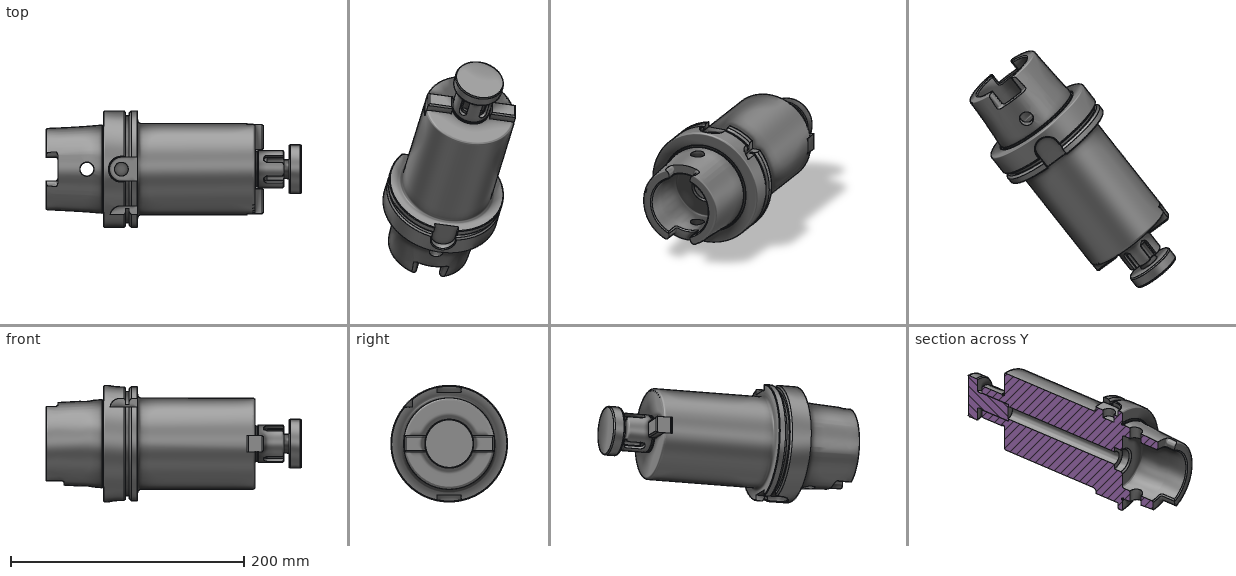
import cadquery as cq
import math

flange_front_x = 49.3
flange_back_x = 78.6
flange_radius = 50.05
flange_front_round = 1.5
flange_back_chamfer = 0.7

taper_tip_radius = 35.0
taper_middle_radius = 36.1
taper_root_radius = 37.9
taper_end_x = 48.0
taper_tip_round = 1.8
relief_radius = 37.2
relief_outer_radius = 39.5
relief_face_depth = 0.7

groove_floor_radius = 46.0
groove_start_x = 68.3
groove_end_x = 71.2
groove_front_bevel = 1.5
groove_back_bevel = 2.0

cavity_radius = 26.7
cavity_floor_radius = 26.3
cavity_taper_x = 19.3
cavity_floor_x = flange_front_x
cavity_mouth_chamfer = 1.0
cavity_floor_round = 1.5
recess_radius = 10.7
recess_depth = 8.8
recess_chamfer = 1.5
passage_radius = 6.1

end_slot_half_width = 10.0
end_slot_flare = 4.2
end_slot_flare_z = 27.8
end_slot_floor_round = 2.0
upper_slot_depth = 10.0
lower_slot_depth = 15.3

cross_hole_x = 35.0
cross_hole_radius = 6.0

pocket_center_x = 64.5
pocket_half_width = 10.3
pocket_floor_z = 44.0
pocket_chamfer = 0.9
chip_hole_radius = 6.0
chip_hole_depth = 7.7

notch_wall_y = -31.5
notch_floor_z = 31.3
notch_corner_radius = 9.2
notch_start_x = 54.8

arbor_radius = 39.2
arbor_end_x = 179.4
arbor_root_fillet = 3.0
arbor_end_round = 2.2
neck_radius = 15.3
neck_end_x = 182.0
neck_edge_bevel = 0.7
nose_radius = 16.2
nose_end_x = 203.9
nose_end_round = 2.0

nose_slot_angle = 56.0
nose_slot_width = 7.5
nose_slot_floor = 13.0
nose_slot_start_x = 186.5
channel_radius = 2.6
channel_start_x = 189.5

key_start_x = 172.1
key_end_x = 186.5
key_half_width = 7.0
key_inner_y = 16.6
key_outer_y = 38.3
key_chamfer = 1.3
key_turns = (0, 180)

shank_radius = 8.0
shank_tip_x = 175.2
head_start_x = 208.5
head_end_x = 219.0
head_radius = 21.0
head_edge_axial = 1.3
head_edge_radial = 0.7
shank_cone_length = 2.0
shank_cone_rise = 0.5

tolerance = 0.02
past_surface = 11.0


def revolved(profile):
    """Turn a closed (x, radius) profile around the X axis."""
    return profile.close().revolve(360, (0, 0, 0), (1, 0, 0))


def point_on_round(center, radius, degrees):
    """Point on a round at the given angle from the first axis of its sketch."""
    angle = math.radians(degrees)
    return (center[0] + radius * math.cos(angle), center[1] + radius * math.sin(angle))


def x_cylinder(radius, start_x, end_x):
    return cq.Workplane("YZ", origin=(start_x, 0, 0)).circle(radius).extrude(end_x - start_x)


def box_between(x_range, y_range, z_range):
    """Box that fills the given ranges."""
    low, high = zip(x_range, y_range, z_range)
    size = [b - a for a, b in zip(low, high)]
    return cq.Workplane("XY").box(*size, centered=False).translate(low)


def turned_holder():
    """Outside of the taper, flange, arbor and nose."""
    tip_face_radius = taper_tip_radius - taper_tip_round
    profile = (
        cq.Workplane("XY")
        .lineTo(0, tip_face_radius)
        .threePointArc(
            point_on_round((taper_tip_round, tip_face_radius), taper_tip_round, 135),
            (taper_tip_round, taper_tip_radius),
        )
        .threePointArc(
            ((taper_tip_round + taper_end_x) / 2, taper_middle_radius),
            (taper_end_x, taper_root_radius),
        )
        .lineTo(taper_end_x + taper_root_radius - relief_radius, relief_radius)
        .lineTo(flange_front_x + relief_face_depth, relief_radius)
        .lineTo(flange_front_x + relief_face_depth, relief_outer_radius - relief_face_depth)
        .lineTo(flange_front_x, relief_outer_radius)
        .lineTo(flange_front_x, flange_radius - flange_front_round)
        .threePointArc(
            point_on_round(
                (flange_front_x + flange_front_round, flange_radius - flange_front_round),
                flange_front_round,
                135,
            ),
            (flange_front_x + flange_front_round, flange_radius),
        )
        .lineTo(groove_start_x - groove_front_bevel, flange_radius)
        .lineTo(groove_start_x, flange_radius - groove_front_bevel)
        .lineTo(groove_start_x, groove_floor_radius)
        .lineTo(groove_end_x, groove_floor_radius)
        .lineTo(groove_end_x, flange_radius - groove_back_bevel)
        .lineTo(groove_end_x + groove_back_bevel, flange_radius)
        .lineTo(flange_back_x - flange_back_chamfer, flange_radius)
        .lineTo(flange_back_x, flange_radius - flange_back_chamfer)
        .lineTo(flange_back_x, arbor_radius + arbor_root_fillet)
        .threePointArc(
            point_on_round(
                (flange_back_x + arbor_root_fillet, arbor_radius + arbor_root_fillet),
                arbor_root_fillet,
                225,
            ),
            (flange_back_x + arbor_root_fillet, arbor_radius),
        )
        .lineTo(arbor_end_x - arbor_end_round, arbor_radius)
        .threePointArc(
            point_on_round(
                (arbor_end_x - arbor_end_round, arbor_radius - arbor_end_round),
                arbor_end_round,
                45,
            ),
            (arbor_end_x, arbor_radius - arbor_end_round),
        )
        .lineTo(arbor_end_x, neck_radius + neck_edge_bevel)
        .lineTo(arbor_end_x + neck_edge_bevel, neck_radius)
        .lineTo(neck_end_x - neck_edge_bevel, neck_radius)
        .lineTo(neck_end_x, nose_radius)
        .lineTo(nose_end_x - nose_end_round, nose_radius)
        .threePointArc(
            point_on_round(
                (nose_end_x - nose_end_round, nose_radius - nose_end_round),
                nose_end_round,
                45,
            ),
            (nose_end_x, nose_radius - nose_end_round),
        )
        .lineTo(nose_end_x, 0)
    )
    return revolved(profile)


def inner_bores():
    """Cavity in the taper, recess in its floor, passage and screw hole."""
    cavity = revolved(
        cq.Workplane("XY")
        .lineTo(0, cavity_radius)
        .lineTo(cavity_taper_x, cavity_radius)
        .lineTo(cavity_floor_x, cavity_floor_radius)
        .lineTo(cavity_floor_x, 0)
    )
    cavity = cavity.faces(">X").edges().fillet(cavity_floor_round)
    recess_end_x = cavity_floor_x + recess_depth
    recess = revolved(
        cq.Workplane("XY")
        .moveTo(cavity_floor_x, 0)
        .lineTo(cavity_floor_x, recess_radius + recess_chamfer)
        .lineTo(cavity_floor_x + recess_chamfer, recess_radius)
        .lineTo(recess_end_x, recess_radius)
        .lineTo(recess_end_x, 0)
    )
    passage = x_cylinder(passage_radius, recess_end_x, shank_tip_x)
    screw_hole = x_cylinder(shank_radius, shank_tip_x, nose_end_x)
    return cavity.union(recess).union(passage).union(screw_hole)


def end_slot(depth):
    """Slot on the +Z side of the taper tip, flaring out to the surface of the taper."""
    flare_y = end_slot_half_width + end_slot_flare
    flare_z = end_slot_flare_z + end_slot_flare
    arc_y, arc_z = point_on_round((flare_y, end_slot_flare_z), end_slot_flare, 135)
    top_z = taper_root_radius + past_surface
    side_y = flare_y + past_surface
    slot = (
        cq.Workplane("YZ", origin=(-past_surface, 0, 0))
        .moveTo(-end_slot_half_width, 0)
        .lineTo(end_slot_half_width, 0)
        .lineTo(end_slot_half_width, end_slot_flare_z)
        .threePointArc((arc_y, arc_z), (flare_y, flare_z))
        .lineTo(side_y, flare_z)
        .lineTo(side_y, top_z)
        .lineTo(-side_y, top_z)
        .lineTo(-side_y, flare_z)
        .lineTo(-flare_y, flare_z)
        .threePointArc((-arc_y, arc_z), (-end_slot_half_width, end_slot_flare_z))
        .close()
        .extrude(depth + past_surface)
    )
    return slot.faces(">X").edges().fillet(end_slot_floor_round)


def flange_pocket():
    """Round-ended keyway in the +Z side of the flange, open toward the arbor."""
    top_z = flange_radius + past_surface
    floor = cq.Workplane("XY", origin=(pocket_center_x, 0, pocket_floor_z))
    round_end = floor.circle(pocket_half_width).extrude(top_z - pocket_floor_z)
    channel = box_between(
        (pocket_center_x, flange_back_x),
        (-pocket_half_width, pocket_half_width),
        (pocket_floor_z, top_z),
    )
    return round_end.union(channel)


def flange_notch():
    """Notch through the -Y +Z corner of the flange, with one rounded inner corner."""
    notch = box_between(
        (notch_start_x, flange_back_x),
        (-flange_radius - past_surface, notch_wall_y),
        (notch_floor_z, flange_radius),
    )
    return notch.edges("|Z and <X and >Y").fillet(notch_corner_radius)


def nose_slot():
    """Coolant slot in the +Z side of the nose, with a round start and a channel in its floor."""
    half_width = nose_slot_width / 2
    center_x = nose_slot_start_x + half_width
    floor = cq.Workplane("XY", origin=(center_x, 0, nose_slot_floor))
    round_start = floor.circle(half_width).extrude(past_surface)
    channel = box_between(
        (center_x, nose_end_x + past_surface),
        (-half_width, half_width),
        (nose_slot_floor, nose_slot_floor + past_surface),
    )
    trough = x_cylinder(channel_radius, channel_start_x, nose_end_x + past_surface)
    return round_start.union(channel).union(trough.translate((0, 0, nose_slot_floor)))


def key_block(outer_y):
    """Block in the place of the +Y key, reaching out to the given distance from the axis."""
    return box_between(
        (key_start_x, key_end_x),
        (key_inner_y, outer_y),
        (-key_half_width, key_half_width),
    )


def make_key():
    """Key on the +Y side, bevelled around its free end and along its outer inboard edge."""
    key = key_block(key_outer_y).faces(">X").chamfer(key_chamfer)
    return key.edges("|Z and <X and >Y").chamfer(key_chamfer)


def edges_on_radius(body, radius, start_x, end_x):
    """Edges that lie on a cylinder around the X axis, centred between two places along it."""
    found = []
    for edge in body.edges().vals():
        points = [edge.positionAt(part) for part in (0, 0.5, 1)]
        off_radius = max(abs(math.hypot(point.y, point.z) - radius) for point in points)
        if off_radius < tolerance and start_x < edge.Center().x < end_x:
            found.append(edge)
    return body.newObject(found)


def make_holder():
    holder = turned_holder()

    pocket = flange_pocket()
    holder = holder.cut(pocket)
    holder = holder.cut(pocket.rotate((0, 0, 0), (1, 0, 0), 180))
    pocket_rims = edges_on_radius(
        holder, flange_radius, pocket_center_x - pocket_half_width, pocket_center_x
    )
    holder = pocket_rims.chamfer(pocket_chamfer)
    holder = holder.cut(flange_notch())

    holder = holder.cut(inner_bores())
    holder = holder.cut(end_slot(upper_slot_depth))
    holder = holder.cut(end_slot(lower_slot_depth).rotate((0, 0, 0), (1, 0, 0), 180))
    mouth_rim = edges_on_radius(holder, cavity_radius, -tolerance, cavity_taper_x - tolerance)
    mouth_rim = mouth_rim.filter(lambda edge: abs(edge.Center().z) > tolerance or edge.geomType() != "LINE")
    holder = mouth_rim.chamfer(cavity_mouth_chamfer)

    cross_hole = (
        cq.Workplane("XY", origin=(cross_hole_x, 0, 0))
        .circle(cross_hole_radius)
        .extrude(flange_radius, both=True)
    )
    holder = holder.cut(cross_hole)

    chip_hole = (
        cq.Workplane("XY", origin=(pocket_center_x, 0, pocket_floor_z))
        .circle(chip_hole_radius)
        .extrude(-chip_hole_depth)
    )
    holder = holder.cut(chip_hole)

    tilt = 90 - nose_slot_angle
    for turn in (tilt, -tilt, 180 + tilt, 180 - tilt):
        holder = holder.cut(nose_slot().rotate((0, 0, 0), (1, 0, 0), turn))

    key_seat = key_block(arbor_radius + past_surface)
    for turn in key_turns:
        holder = holder.cut(key_seat.rotate((0, 0, 0), (1, 0, 0), turn))
    return holder


def make_screw():
    """Clamping screw: plain shank and a round head with bevelled edges."""
    return revolved(
        cq.Workplane("XY")
        .moveTo(shank_tip_x, 0)
        .lineTo(shank_tip_x, shank_radius)
        .lineTo(head_start_x - shank_cone_length, shank_radius)
        .lineTo(head_start_x, shank_radius + shank_cone_rise)
        .lineTo(head_start_x, head_radius - head_edge_radial)
        .lineTo(head_start_x + head_edge_axial, head_radius)
        .lineTo(head_end_x - head_edge_axial, head_radius)
        .lineTo(head_end_x, head_radius - head_edge_radial)
        .lineTo(head_end_x, 0)
    )


holder = make_holder()
keys = [make_key().rotate((0, 0, 0), (1, 0, 0), turn) for turn in key_turns]
screw = make_screw()

result = cq.Compound.makeCompound([holder.val(), *[key.val() for key in keys], screw.val()])